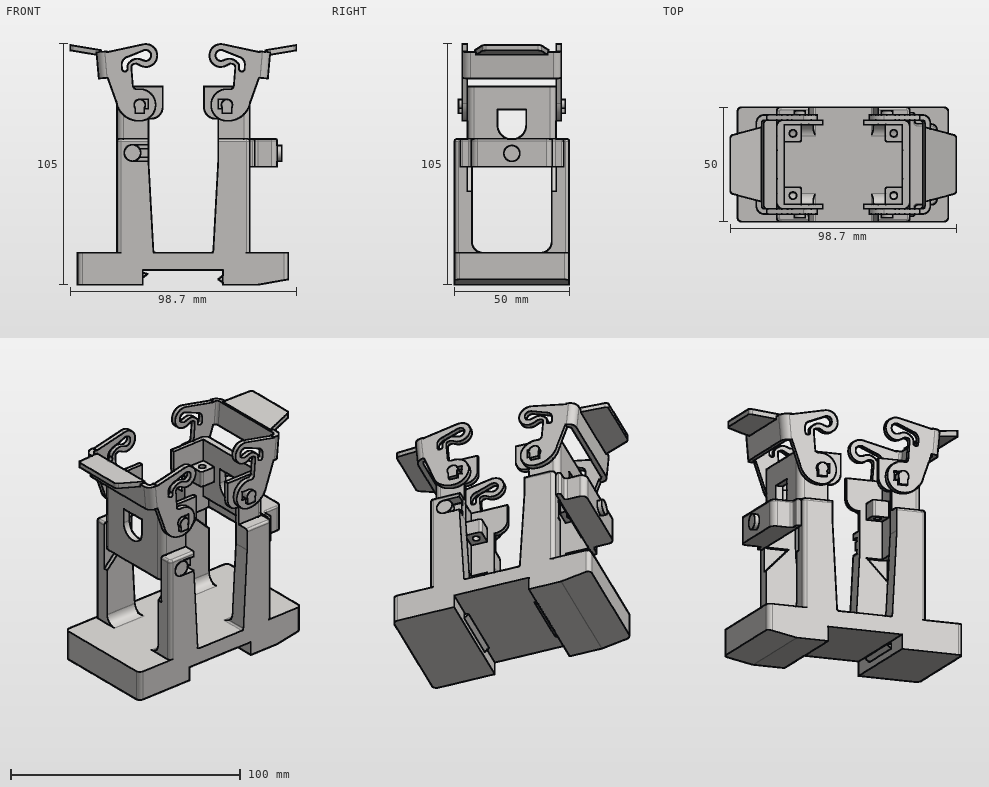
import cadquery as cq
import math

BASE_LEFT = -46.2
BASE_RIGHT = 45.8
BASE_HALF_WIDTH = 25.0
BASE_TOP = 14.1
BASE_CORNER_R = 2.1
NOTCH_LEFT = -17.7
NOTCH_RIGHT = 17.2
NOTCH_TOP = 6.5
CHAMFER_START = 32.3
CHAMFER_RISE = 2.4
TOOTH_LENGTH = 25.2
TOOTH_DEPTH = 2.1

POST_OUTER_X = 29.0
POST_INNER_X = 15.1
POST_FOOT_X = 13.0
POST_TAPER_Z = 53.4
POST_TOP = 63.7
POST_CORNER_R = 1.7
POST_TOP_R = 1.0
POST_FOOT_R = 0.8
OPENING_HALF_WIDTH = 17.3
SCOOP_R = 4.7
POCKET_BOTTOM = 40.9

PLUG_X = -22.2
PLUG_Z = 57.6
PLUG_R = 3.6
PLUG_RECESS = 0.1
GROOVE_DEPTH = 4.2
PLUG_KEY_HALF_HEIGHT = 1.9
PLUG_KEY_DEPTH = 2.6

BLOCK_BOTTOM = 51.5
PAD_END_X = 31.1
PAD_HALF_WIDTH = 22.6
PAD_R = 1.0
BLOCK_END_X = 40.9
BLOCK_HALF_WIDTH = 17.7
BLOCK_CORNER_R = 2.6
BLOCK_INNER_R = 1.3
BLOCK_TOP_R = 0.7
SCREW_END_X = 43.0
SCREW_Z = 57.4
SCREW_R = 3.5

BRACKET_HALF_WIDTH = 19.3
BRACKET_WEB_T = 3.3
BRACKET_BEND_R = 2.7
RIGHT_WEB_BOTTOM = 58.1
BRACKET_BOTTOM = 51.5
BRACKET_TOP = 86.6
EAR_END_X = 8.9
EAR_BOTTOM = 72.4
EAR_R = 5.3
WINDOW_HALF_WIDTH = 6.2
WINDOW_TOP = 76.5
WINDOW_BOTTOM = 63.5
LUG_SIZE = 7.5
LUG_TOP = 76.0
LUG_HEIGHT = 7.4
LUG_CORNER_R = 1.0
LUG_HOLE_R = 1.6
LUG_HOLE_INSET = 3.8

LEVER_T = 2.3
LEVER_HALF_WIDTH = BRACKET_HALF_WIDTH + LEVER_T
PIVOT_X = -19.0
PIVOT_Z = 78.5
PIVOT_R = 6.9
HOOK_X = -16.4
HOOK_Z = 100.0
HOOK_R = 5.0
HOOK_TOP_OFFSET = 1.2
HOOK_SLOT_R = 2.3
LEVER_WEB_X = -37.4
LEVER_WEB_BOTTOM = 89.9
LEVER_WEB_TOP = 101.5
LEVER_WEB_TILT = 5.0
LEVER_BEND_R = 3.6
LEVER_BEND_LENGTH = 4.5
PIN_R = 2.4
PIN_FLAT_Z = 74.8
PIN_FLAT_HALF_WIDTH = 2.0
PIN_END_Y = 23.3
PIN_SLOT_X = -15.2
PIN_SLOT_BOTTOM = 76.8

HANDLE_SPAN = 98.7
HANDLE_TIP_X = -HANDLE_SPAN / 2
HANDLE_ROOT_X = -35.7
HANDLE_TOP = 104.6
HANDLE_TILT = 9.5
HANDLE_T = 2.4
HANDLE_TIP_HALF_WIDTH = 12.6
HANDLE_ROOT_HALF_WIDTH = 16.2
HANDLE_CORNER_R = 1.6


def box(x0, x1, y0, y1, z0, z1):
    """Box between opposite corners."""
    return cq.Workplane("XY").box(x1 - x0, y1 - y0, z1 - z0, centered=False).translate((x0, y0, z0))


def along_y(sketch, y0, y1):
    """Extrude an XZ outline from y0 to y1."""
    return sketch.extrude(y0 - y1).translate((0, y0, 0))


def disc_along_y(x, z, radius, y0, y1):
    """Cylinder along Y, centred at (x, z)."""
    return along_y(cq.Workplane("XZ").center(x, z).circle(radius), y0, y1)


def both_sides(shape, plane):
    """Shape joined with its mirror image."""
    return shape.union(shape.mirror(plane))


def make_base():
    outline = cq.Workplane("XZ").polyline([
        (BASE_LEFT, 0), (NOTCH_LEFT, 0), (NOTCH_LEFT, NOTCH_TOP), (NOTCH_RIGHT, NOTCH_TOP),
        (NOTCH_RIGHT, 0), (CHAMFER_START, 0), (BASE_RIGHT, CHAMFER_RISE),
        (BASE_RIGHT, BASE_TOP), (BASE_LEFT, BASE_TOP),
    ]).close()
    base = along_y(outline, -BASE_HALF_WIDTH, BASE_HALF_WIDTH)
    base = base.edges("|Z and (<X or >X)").fillet(BASE_CORNER_R)
    teeth = [
        [(NOTCH_LEFT, 5.5), (NOTCH_LEFT + TOOTH_DEPTH, 4.8), (NOTCH_LEFT, 3.2)],
        [(NOTCH_RIGHT, 4.1), (NOTCH_RIGHT - TOOTH_DEPTH, 2.5), (NOTCH_RIGHT, 0.9)],
    ]
    for tooth in teeth:
        triangle = cq.Workplane("XZ").polyline(tooth).close()
        base = base.union(along_y(triangle, -TOOTH_LENGTH / 2, TOOTH_LENGTH / 2))
    return base


def make_post():
    """Post at the -X, -Y corner, with a sloped pocket for the bracket side."""
    scoop_end_y = -OPENING_HALF_WIDTH + SCOOP_R
    scoop_top = BASE_TOP + SCOOP_R
    outline = (
        cq.Workplane("XZ").moveTo(-POST_OUTER_X, BASE_TOP)
        .lineTo(-POST_FOOT_X + POST_FOOT_R, BASE_TOP)
        .radiusArc((-POST_FOOT_X, BASE_TOP + POST_FOOT_R), POST_FOOT_R)
        .lineTo(-POST_INNER_X, POST_TAPER_Z)
        .lineTo(-POST_INNER_X, POST_TOP)
        .lineTo(-POST_OUTER_X, POST_TOP).close()
    )
    post = along_y(outline, -BASE_HALF_WIDTH, scoop_end_y)
    post = post.edges("|Z").edges("<X").edges("<Y").fillet(POST_CORNER_R)
    post = post.faces(">Z").edges("<Y").fillet(POST_TOP_R)
    beside_post = (
        cq.Workplane("YZ").moveTo(-OPENING_HALF_WIDTH, scoop_top)
        .radiusArc((scoop_end_y, BASE_TOP), -SCOOP_R)
        .lineTo(scoop_end_y, POST_TOP)
        .lineTo(-OPENING_HALF_WIDTH, POST_TOP).close()
        .extrude(POST_OUTER_X).translate((-POST_OUTER_X, 0, 0))
    )
    pocket_depth = POST_OUTER_X - POST_INNER_X
    pocket = along_y(
        cq.Workplane("XZ").polyline([
            (-POST_OUTER_X, POCKET_BOTTOM), (-POST_INNER_X, POCKET_BOTTOM + pocket_depth),
            (-POST_INNER_X, POST_TOP), (-POST_OUTER_X, POST_TOP),
        ]).close(),
        -BRACKET_HALF_WIDTH, -OPENING_HALF_WIDTH)
    return post.cut(beside_post).cut(pocket)


def cut_plug_groove(body):
    """Groove from the round plug to the inner edge of the front left post, with a central key."""
    front = -BASE_HALF_WIDTH
    back = front + GROOVE_DEPTH
    groove = box(PLUG_X, -POST_INNER_X, front, back, PLUG_Z - PLUG_R, PLUG_Z + PLUG_R)
    groove = groove.union(disc_along_y(PLUG_X, PLUG_Z, PLUG_R, front, back))
    key = box(PLUG_X, -POST_INNER_X, front + PLUG_KEY_DEPTH, back,
              PLUG_Z - PLUG_KEY_HALF_HEIGHT, PLUG_Z + PLUG_KEY_HALF_HEIGHT)
    plug = disc_along_y(PLUG_X, PLUG_Z, PLUG_R, front + PLUG_RECESS, back)
    return body.cut(groove).union(key).union(plug)


def make_side_block():
    pad = box(POST_OUTER_X, PAD_END_X, -PAD_HALF_WIDTH, PAD_HALF_WIDTH,
              BLOCK_BOTTOM, POST_TOP)
    pad = pad.edges("|Z and >X").fillet(PAD_R)
    block = box(POST_OUTER_X, BLOCK_END_X, -BLOCK_HALF_WIDTH, BLOCK_HALF_WIDTH, BLOCK_BOTTOM, POST_TOP)
    block = block.edges("|Z and >X").fillet(BLOCK_CORNER_R)
    inner_corner = cq.selectors.BoxSelector(
        (PAD_END_X - 0.1, -BLOCK_HALF_WIDTH - 0.1, BLOCK_BOTTOM),
        (PAD_END_X + 0.1, BLOCK_HALF_WIDTH + 0.1, POST_TOP))
    block = pad.union(block).edges("|Z").edges(inner_corner).fillet(BLOCK_INNER_R)
    block = block.faces(">Z").edges(">X").fillet(BLOCK_TOP_R)
    screw = (
        cq.Workplane("YZ").center(0, SCREW_Z).circle(SCREW_R)
        .extrude(SCREW_END_X - BLOCK_END_X).translate((BLOCK_END_X, 0, 0))
    )
    return block.union(screw)


def make_bracket():
    """Bracket on the -X side: web, two sides with ears, and two drilled lugs."""
    web_inner_x = -POST_OUTER_X + BRACKET_WEB_T
    bracket = box(-POST_OUTER_X, -EAR_END_X, -BRACKET_HALF_WIDTH, BRACKET_HALF_WIDTH,
                  BRACKET_BOTTOM, BRACKET_TOP)
    bracket = bracket.edges("|Z and <X").fillet(BRACKET_BEND_R)
    bracket = bracket.cut(box(web_inner_x, -EAR_END_X, -OPENING_HALF_WIDTH, OPENING_HALF_WIDTH,
                              BRACKET_BOTTOM, BRACKET_TOP))
    below_ear = along_y(
        cq.Workplane("XZ").moveTo(-POST_INNER_X, BRACKET_BOTTOM).lineTo(-EAR_END_X, BRACKET_BOTTOM)
        .lineTo(-EAR_END_X, EAR_BOTTOM + EAR_R)
        .radiusArc((-EAR_END_X - EAR_R, EAR_BOTTOM), EAR_R)
        .lineTo(-POST_INNER_X, EAR_BOTTOM).close(),
        -BRACKET_HALF_WIDTH, BRACKET_HALF_WIDTH)
    arc_z = WINDOW_BOTTOM + WINDOW_HALF_WIDTH
    window = (
        cq.Workplane("YZ").moveTo(-WINDOW_HALF_WIDTH, WINDOW_TOP).lineTo(WINDOW_HALF_WIDTH, WINDOW_TOP)
        .lineTo(WINDOW_HALF_WIDTH, arc_z)
        .threePointArc((0, WINDOW_BOTTOM), (-WINDOW_HALF_WIDTH, arc_z)).close()
        .extrude(BRACKET_WEB_T).translate((-POST_OUTER_X, 0, 0))
    )
    bracket = bracket.cut(below_ear).cut(window)
    lug_y = -OPENING_HALF_WIDTH
    lug = box(web_inner_x, web_inner_x + LUG_SIZE, lug_y, lug_y + LUG_SIZE, LUG_TOP - LUG_HEIGHT, LUG_TOP)
    lug = lug.edges("|Z").edges(">X").edges(">Y").fillet(LUG_CORNER_R)
    hole = (
        cq.Workplane("XY").circle(LUG_HOLE_R).extrude(LUG_HEIGHT)
        .translate((web_inner_x + LUG_HOLE_INSET, lug_y + LUG_HOLE_INSET, LUG_TOP - LUG_HEIGHT))
    )
    return bracket.union(both_sides(lug.cut(hole), "XZ"))


def make_lever_arm():
    """Flat arm on the -Y side with the hook, the curved hook slot and the pivot pin."""
    hook_top = (HOOK_X - HOOK_TOP_OFFSET, HOOK_Z + math.sqrt(HOOK_R ** 2 - HOOK_TOP_OFFSET ** 2))
    outline = (
        cq.Workplane("XZ").moveTo(-33.9, 101.4).lineTo(*hook_top)
        .threePointArc((HOOK_X + HOOK_R, HOOK_Z), (HOOK_X, HOOK_Z - HOOK_R))
        .spline([(-18.5, 95.5), (-20.4, 96.4), (-22.2, 96.0), (-22.6, 94.6)],
                tangents=[(-1, 0.1), (0, -1)], includeCurrent=True)
        .lineTo(-22.0, 86.8)
        .threePointArc((-21.4, 85.7), (-20.3, 85.3))
        .lineTo(PIVOT_X, PIVOT_Z + PIVOT_R)
        .threePointArc((PIVOT_X + PIVOT_R, PIVOT_Z), (PIVOT_X, PIVOT_Z - PIVOT_R))
        .threePointArc((-26.3, 74.3), (-29.1, 79.3))
        .lineTo(-33.4, 91.4).close()
    )
    arm = along_y(outline, -LEVER_HALF_WIDTH, -BRACKET_HALF_WIDTH)
    slot = (
        cq.Workplane("XZ").moveTo(HOOK_X - 0.6, HOOK_Z + HOOK_SLOT_R)
        .threePointArc((HOOK_X + HOOK_SLOT_R, HOOK_Z), (HOOK_X, HOOK_Z - HOOK_SLOT_R))
        .spline([(-18.7, 98.4), (-21.4, 98.4), (-23.8, 96.7), (-24.4, 94.8)],
                tangents=[(-1, 0.1), (0, -1)], includeCurrent=True)
        .threePointArc((-25.5, 93.1), (-26.7, 94.1))
        .lineTo(-26.8, 96.2)
        .threePointArc((-26.1, 98.2), (-24.1, 99.5)).close()
    )
    arm = arm.cut(along_y(slot, -LEVER_HALF_WIDTH, -BRACKET_HALF_WIDTH))
    arm = arm.cut(box(PIVOT_X, PIN_SLOT_X, -LEVER_HALF_WIDTH, -BRACKET_HALF_WIDTH,
                      PIN_SLOT_BOTTOM, PIVOT_Z + PIN_R))
    pin = disc_along_y(PIVOT_X, PIVOT_Z, PIN_R, -PIN_END_Y, -BRACKET_HALF_WIDTH)
    pin_foot = box(PIVOT_X - PIN_FLAT_HALF_WIDTH, PIVOT_X + PIN_FLAT_HALF_WIDTH,
                   -PIN_END_Y, -BRACKET_HALF_WIDTH, PIN_FLAT_Z, PIVOT_Z)
    return arm.union(pin).union(pin_foot)


def make_handle():
    rise = math.tan(math.radians(HANDLE_TILT)) * (HANDLE_ROOT_X - HANDLE_TIP_X)
    plan = (
        cq.Workplane("XY").polyline([
            (HANDLE_TIP_X, -HANDLE_TIP_HALF_WIDTH), (HANDLE_ROOT_X, -HANDLE_ROOT_HALF_WIDTH),
            (HANDLE_ROOT_X, HANDLE_ROOT_HALF_WIDTH), (HANDLE_TIP_X, HANDLE_TIP_HALF_WIDTH),
        ]).close().extrude(HANDLE_TOP).edges("|Z and <X").fillet(HANDLE_CORNER_R)
    )
    plate = along_y(
        cq.Workplane("XZ").polyline([
            (HANDLE_TIP_X, HANDLE_TOP), (HANDLE_TIP_X, HANDLE_TOP - HANDLE_T),
            (HANDLE_ROOT_X, HANDLE_TOP - HANDLE_T - rise), (HANDLE_ROOT_X, HANDLE_TOP - rise),
        ]).close(),
        -HANDLE_ROOT_HALF_WIDTH, HANDLE_ROOT_HALF_WIDTH)
    return plate.intersect(plan)


def make_lever():
    bend_end_x = LEVER_WEB_X + LEVER_BEND_LENGTH
    web = box(LEVER_WEB_X, bend_end_x, -LEVER_HALF_WIDTH, LEVER_HALF_WIDTH, LEVER_WEB_BOTTOM, LEVER_WEB_TOP)
    web = web.edges("|Z and <X").fillet(LEVER_BEND_R)
    hollow = box(LEVER_WEB_X + LEVER_T, bend_end_x + LEVER_T, -BRACKET_HALF_WIDTH, BRACKET_HALF_WIDTH,
                 LEVER_WEB_BOTTOM, LEVER_WEB_TOP)
    web = web.cut(hollow.edges("|Z and <X").fillet(LEVER_BEND_R - LEVER_T))
    web_middle_z = (LEVER_WEB_BOTTOM + LEVER_WEB_TOP) / 2
    web = web.rotate((LEVER_WEB_X, 0, web_middle_z), (LEVER_WEB_X, 1, web_middle_z), -LEVER_WEB_TILT)
    return web.union(both_sides(make_lever_arm(), "XZ")).union(make_handle())


posts = both_sides(both_sides(make_post(), "XZ"), "YZ")
body = cut_plug_groove(make_base().union(posts)).union(make_side_block())
clamps = both_sides(make_bracket().union(make_lever()), "YZ")
clamps = clamps.cut(box(POST_OUTER_X - BRACKET_WEB_T, POST_OUTER_X, -OPENING_HALF_WIDTH, OPENING_HALF_WIDTH,
                        BRACKET_BOTTOM, RIGHT_WEB_BOTTOM))
result = body.union(clamps)